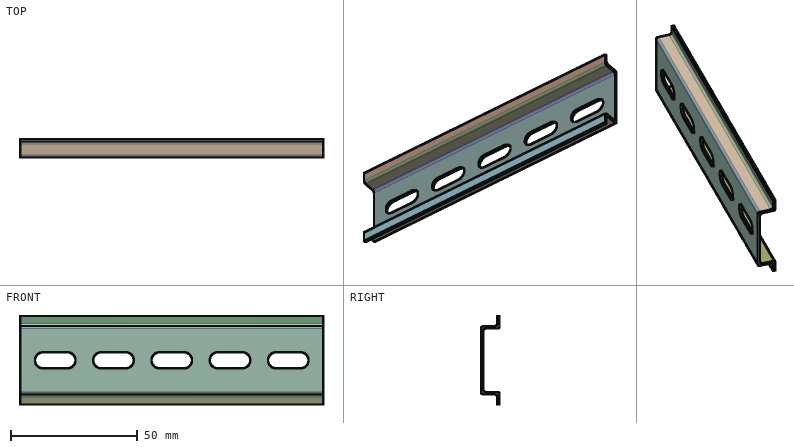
import cadquery as cq

length = 120.0
depth = 7.5
height = 35.0
sheet = 1.0
web_height = 27.0
bend_radius = sheet

slot_length = 16.0
slot_width = 6.2
slot_pitch = 23.0
slot_count = 5

web_face = -depth / 2
flange_face = depth / 2
half_height = height / 2
half_web = web_height / 2


def plate(y_min, y_max, z_min, z_max):
    """Full-length block between the given Y and Z limits."""
    return cq.Workplane("XY").box(length, y_max - y_min, z_max - z_min).translate(
        (0, (y_min + y_max) / 2, (z_min + z_max) / 2)
    )


def bent_sheet():
    """Web, two side walls and two outward flanges, with rounded bends."""
    wall_inside = half_web - sheet
    rail = plate(web_face, web_face + sheet, -half_web, half_web)
    for z_min, z_max, edge_min, edge_max in (
        (wall_inside, half_web, wall_inside, half_height),
        (-half_web, -wall_inside, -half_height, -wall_inside),
    ):
        rail = rail.union(plate(web_face, flange_face, z_min, z_max))
        rail = rail.union(plate(flange_face - sheet, flange_face, edge_min, edge_max))
    return round_bends(rail)


def bend_edges(rail, y, z):
    """The two lengthwise edges at depth y and heights +z and -z."""
    reach = sheet / 4
    upper = cq.selectors.BoxSelector((-length, y - reach, z - reach), (length, y + reach, z + reach))
    lower = cq.selectors.BoxSelector((-length, y - reach, -z - reach), (length, y + reach, -z + reach))
    return rail.edges("|X").edges(upper + lower)


def round_bends(rail):
    wall_inside = half_web - sheet
    rail = bend_edges(rail, web_face, half_web).fillet(bend_radius)
    rail = bend_edges(rail, web_face + sheet, wall_inside).fillet(bend_radius)
    rail = bend_edges(rail, flange_face, wall_inside).fillet(bend_radius)
    return bend_edges(rail, flange_face - sheet, half_web).fillet(bend_radius)


def slots():
    """Row of lengthwise slots, centred on the web."""
    return (
        cq.Workplane("XZ")
        .rarray(slot_pitch, 1.2, slot_count, 1)
        .slot2D(slot_length, slot_width)
        .extrude(depth, both=True)
    )


result = bent_sheet().cut(slots())